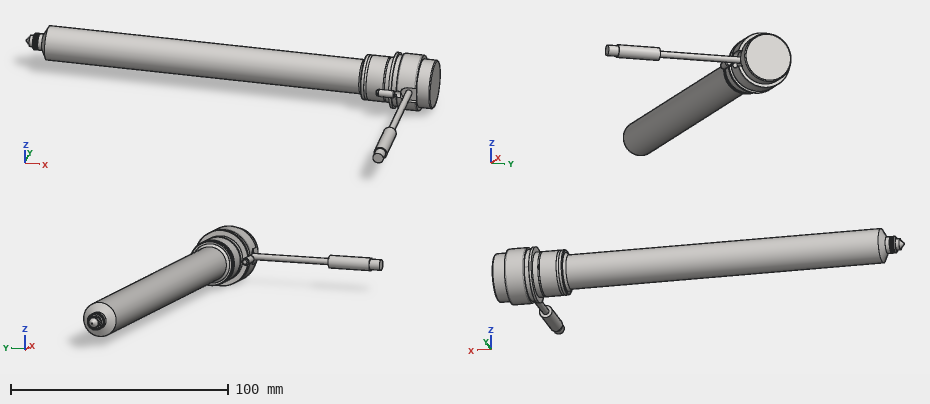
import cadquery as cq

TOTAL_LENGTH = 193.0
TOTAL_DEPTH = 87.95
FLANGE_RADIUS = 12.98

POINT_FLAT_RADIUS = 0.3
POINT_LENGTH = 1.9
POINT_BASE_RADIUS = 2.3
PILOT_RADIUS = 2.7
PILOT_END_X = 3.6
SHOULDER_CHAMFER = 0.6
NOSE_RADIUS = 3.9
NOSE_END_X = 8.1
NOSE_GROOVE_XS = (4.7, 5.7)
NOSE_GROOVE_WIDTH = 0.5
NOSE_GROOVE_DEPTH = 0.3
NOSE_STEM_RADIUS = 3.0
NOSE_STEM_LENGTH = 4.0

TUBE_RADIUS = 8.0
TUBE_FRONT_X = 10.4
TUBE_END_X = 158.7
COLLAR_START_X = 159.9
STEP_RADIUS = 9.2
COLLAR_CHAMFER = 0.4
COLLAR_RADIUS = 10.5
FLANGE_START_X = 173.9
FLANGE_WIDTH = 1.2
NECK_RADIUS = 12.0
RING_START_X = 177.4
RING_END_X = 186.7
RING_EDGE_LENGTH = 0.6
RING_EDGE_DROP = 0.15
COLLAR_GROOVES = ((161.6, 1.1), (170.7, 0.7))
COLLAR_GROOVE_DEPTH = 0.1

CAP_RADIUS = 11.3
CAP_CHAMFER = 0.5
CAP_SPIGOT_RADIUS = 7.0
CAP_SPIGOT_LENGTH = 2.0

CABLE_X = 182.95
CABLE_RADIUS = 1.5
CABLE_POCKET_WIDTH = 7.4
CABLE_POCKET_FLOOR_Y = -10.5
CABLE_SOCKET_DEPTH = 3.0
CONNECTOR_RADIUS = 3.0
CONNECTOR_START_Y = -50.0
CONNECTOR_LENGTH = 20.0
PLUG_RADIUS = 2.5
CABLE_END_Y = FLANGE_RADIUS - TOTAL_DEPTH

PIN_RADIUS = 1.7
PIN_SINK = 0.2
PIN_Y = PIN_SINK - NECK_RADIUS - PIN_RADIUS
PIN_START_X = 168.3
PIN_END_X = 176.9
PIN_CHAMFER = 0.5
PIN_HEAD_LENGTH = 1.2
PIN_HEAD_RADIUS = 1.5


def revolve_about_x(outline):
    """Revolve an (x, radius) outline that starts and ends on the X axis."""
    return cq.Workplane("XY").polyline(outline).close().revolve(360, (0, 0, 0), (1, 0, 0))


def cylinder_x(x_start, x_end, radius, y=0.0):
    return cq.Workplane("YZ", origin=(x_start, y, 0)).circle(radius).extrude(x_end - x_start)


def cylinder_y(y_start, y_end, radius):
    """Cylinder on the cable axis, running towards -Y."""
    return cq.Workplane("XZ", origin=(CABLE_X, y_start, 0)).circle(radius).extrude(y_start - y_end)


def ring_groove(x_start, width, outer_radius, depth):
    outer = cylinder_x(x_start, x_start + width, outer_radius + depth)
    return outer.cut(cylinder_x(x_start, x_start + width, outer_radius - depth))


def make_nose():
    stem_end = NOSE_END_X + NOSE_STEM_LENGTH
    outline = [
        (0, 0),
        (0, POINT_FLAT_RADIUS),
        (POINT_LENGTH, POINT_BASE_RADIUS),
        (POINT_LENGTH, PILOT_RADIUS),
        (PILOT_END_X, PILOT_RADIUS),
        (PILOT_END_X, NOSE_RADIUS - SHOULDER_CHAMFER),
        (PILOT_END_X + SHOULDER_CHAMFER, NOSE_RADIUS),
        (NOSE_END_X, NOSE_RADIUS),
        (NOSE_END_X, NOSE_STEM_RADIUS),
        (stem_end, NOSE_STEM_RADIUS),
        (stem_end, 0),
    ]
    nose = revolve_about_x(outline)
    for groove_x in NOSE_GROOVE_XS:
        nose = nose.cut(ring_groove(groove_x, NOSE_GROOVE_WIDTH, NOSE_RADIUS, NOSE_GROOVE_DEPTH))
    return nose


def make_cable_pocket():
    """Pocket in the ring: round towards the tip, open at the cap end, with a flat floor."""
    half_width = CABLE_POCKET_WIDTH / 2
    return (
        cq.Workplane("XZ", origin=(0, CABLE_POCKET_FLOOR_Y, 0))
        .moveTo(RING_END_X, half_width)
        .lineTo(CABLE_X, half_width)
        .threePointArc((CABLE_X - half_width, 0), (CABLE_X, -half_width))
        .lineTo(RING_END_X, -half_width)
        .close()
        .extrude(FLANGE_RADIUS)
    )


def make_housing():
    flange_end = FLANGE_START_X + FLANGE_WIDTH
    ring_edge_radius = FLANGE_RADIUS - RING_EDGE_DROP
    outline = [
        (NOSE_END_X, 0),
        (NOSE_END_X, NOSE_RADIUS),
        (TUBE_FRONT_X, TUBE_RADIUS),
        (TUBE_END_X, TUBE_RADIUS),
        (COLLAR_START_X, STEP_RADIUS),
        (COLLAR_START_X, COLLAR_RADIUS - COLLAR_CHAMFER),
        (COLLAR_START_X + COLLAR_CHAMFER, COLLAR_RADIUS),
        (FLANGE_START_X, COLLAR_RADIUS),
        (FLANGE_START_X, FLANGE_RADIUS),
        (flange_end, FLANGE_RADIUS),
        (flange_end, NECK_RADIUS),
        (RING_START_X, NECK_RADIUS),
        (RING_START_X, ring_edge_radius),
        (RING_START_X + RING_EDGE_LENGTH, FLANGE_RADIUS),
        (RING_END_X - RING_EDGE_LENGTH, FLANGE_RADIUS),
        (RING_END_X, ring_edge_radius),
        (RING_END_X, 0),
    ]
    housing = revolve_about_x(outline)
    for groove_x, width in COLLAR_GROOVES:
        housing = housing.cut(ring_groove(groove_x, width, COLLAR_RADIUS, COLLAR_GROOVE_DEPTH))
    nose_socket = cylinder_x(NOSE_END_X, NOSE_END_X + NOSE_STEM_LENGTH, NOSE_STEM_RADIUS)
    cap_socket = cylinder_x(RING_END_X - CAP_SPIGOT_LENGTH, RING_END_X, CAP_SPIGOT_RADIUS)
    cable_socket = cylinder_y(
        CABLE_POCKET_FLOOR_Y + CABLE_SOCKET_DEPTH, CABLE_POCKET_FLOOR_Y, CABLE_RADIUS
    )
    pin_notch = cylinder_x(FLANGE_START_X, CABLE_X, PIN_RADIUS, PIN_Y)
    return (
        housing.cut(nose_socket)
        .cut(cap_socket)
        .cut(make_cable_pocket())
        .cut(cable_socket)
        .cut(pin_notch)
    )


def make_cap():
    cap = cylinder_x(RING_END_X, TOTAL_LENGTH, CAP_RADIUS).faces(">X").chamfer(CAP_CHAMFER)
    return cap.union(cylinder_x(RING_END_X - CAP_SPIGOT_LENGTH, RING_END_X, CAP_SPIGOT_RADIUS))


def make_cable():
    connector_end = CONNECTOR_START_Y - CONNECTOR_LENGTH
    cable = cylinder_y(CABLE_POCKET_FLOOR_Y + CABLE_SOCKET_DEPTH, CONNECTOR_START_Y, CABLE_RADIUS)
    connector = cylinder_y(CONNECTOR_START_Y, connector_end, CONNECTOR_RADIUS)
    plug = cylinder_y(connector_end, CABLE_END_Y, PLUG_RADIUS)
    return cable.union(connector).union(plug)


def make_pin():
    head_end = PIN_START_X + PIN_HEAD_LENGTH
    head = cylinder_x(PIN_START_X, head_end, PIN_HEAD_RADIUS, PIN_Y).faces("<X").chamfer(PIN_CHAMFER)
    shank = cylinder_x(head_end, PIN_END_X, PIN_RADIUS, PIN_Y).faces(">X").chamfer(PIN_CHAMFER)
    return head.union(shank)


nose = make_nose()
housing = make_housing()
cap = make_cap()
cable = make_cable()
pin = make_pin()

result = cq.Compound.makeCompound([
    nose.val(),
    housing.val(),
    cap.val(),
    cable.val(),
    pin.val(),
])